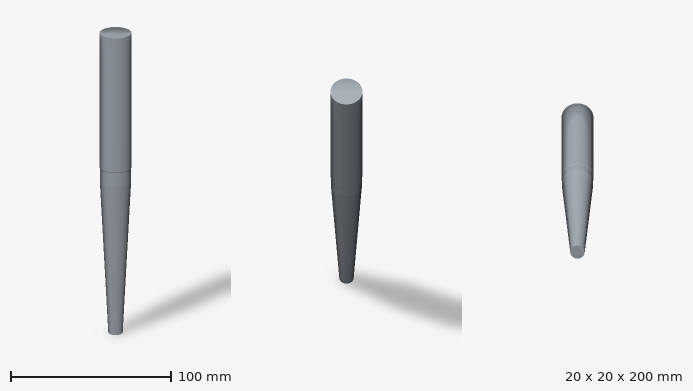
import cadquery as cq

total_length = 200.0
shank_diameter = 20.0
neck_diameter = 19.5
tip_diameter = 9.0
shank_length = 89.5
shoulder_height = 0.5
neck_length = 9.0

shank_radius = shank_diameter / 2
neck_radius = neck_diameter / 2
tip_radius = tip_diameter / 2

shank_bottom = total_length - shank_length
neck_top = shank_bottom - shoulder_height
neck_bottom = neck_top - neck_length

profile = (
    cq.Workplane("XZ")
    .moveTo(0, 0)
    .lineTo(tip_radius, 0)
    .lineTo(neck_radius, neck_bottom)
    .lineTo(neck_radius, neck_top)
    .lineTo(shank_radius, shank_bottom)
    .lineTo(shank_radius, total_length)
    .lineTo(0, total_length)
    .close()
)

result = profile.revolve(360, (0, 0, 0), (0, 1, 0))